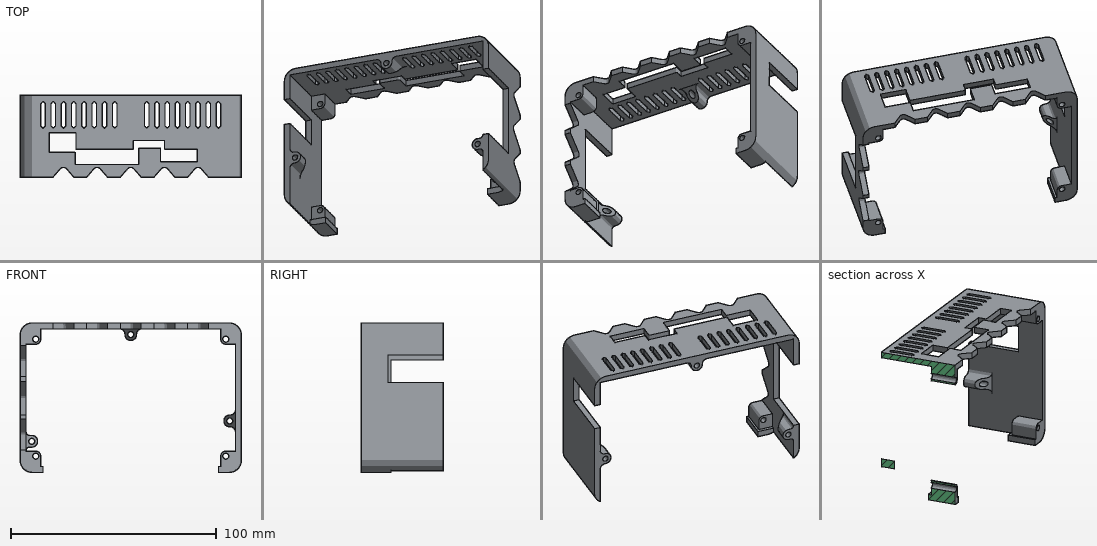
import cadquery as cq
import math

WIDTH = 107.7
DEPTH = 40.0
HEIGHT = 72.8
WALL = 3.0
OUTER_RADIUS = 6.0
LIP_DEPTH = 14.5
BOSS_DEPTH = 13.0

SCREW_DIAMETER = 2.8
CORNER_SCREW_INSET_X = 7.6
CORNER_SCREW_INSET_Z = 8.0
BOSS_RADIUS = 2.5
LIP_WIDTH = 11.2

POST_RADIUS = 2.9
POST_OFFSET = 2.7
POST_FILLET = 2.4
LEFT_POST_FILLET = 1.6
POST_FRONT = 27.1
POST_END_SLOPE = 1.2
LEFT_POST_Z = 15.2
RIGHT_POST_Z = 25.1

NOTCH_TIP_RADIUS = 2.0
TOP_NOTCH_COUNT = 5
TOP_NOTCH_PITCH = 16.4
TOP_NOTCH_HALF_WIDTH = 5.1
TOP_NOTCH_APEX = 5.8
SIDE_NOTCH_SLOPE = 1.16
LOWER_NOTCH_Z = 18.4
LOWER_NOTCH_HALF_WIDTH = 7.5
MIDDLE_NOTCH_Z = 36.2
MIDDLE_NOTCH_HALF_WIDTH = 8.2
UPPER_NOTCH_Z = 54.2
UPPER_NOTCH_HALF_WIDTH = 7.5
UPPER_NOTCH_TIP_RADIUS = 1.7

SLOTS_PER_SIDE = 8
SLOT_WIDTH = 2.0
SLOT_LENGTH = 12.9
INNERMOST_SLOT_X = 7.8
OUTERMOST_SLOT_X = 42.6
SLOT_MIDDLE_Y = 30.4

LEFT_OPENING_TOP = 54.7
LEFT_OPENING_BOTTOM = 19.8
RIGHT_OPENING_BOTTOM = 43.8
RIGHT_OPENING_TOP = 57.1

WINDOW_LEFT = -39.5
WINDOW_RIGHT = 32.3
PORT_FRONT = 12.2
PORT_REAR = 21.5
PORT_RIGHT = -26.7
CHANNEL_LEFT = -26.9
CHANNEL_FRONT = 6.2
CHANNEL_REAR = 13.6
CHANNEL_RIGHT_FRONT = 7.6
RAISED_LEFT = 1.3
RAISED_RIGHT = 16.4
RAISED_REAR = 17.8
TAB_LEFT = 3.8
TAB_RIGHT = 14.5
TAB_REAR = 14.2
WINDOW_CORNER_RADIUS = 0.4

INNER_X = WIDTH / 2 - WALL
INNER_TOP = HEIGHT - WALL
SCREW_X = WIDTH / 2 - CORNER_SCREW_INSET_X
TOP_SCREW_Z = HEIGHT - CORNER_SCREW_INSET_Z
BOTTOM_SCREW_Z = CORNER_SCREW_INSET_Z


def box(x_range, y_range, z_range):
    """Axis-aligned block given by its limits on each axis."""
    size = [high - low for low, high in (x_range, y_range, z_range)]
    corner = (x_range[0], y_range[0], z_range[0])
    return cq.Workplane("XY").box(*size, centered=False).translate(corner)


def rounded_block():
    """Full outer envelope with its four long edges rounded."""
    envelope = box((-WIDTH / 2, WIDTH / 2), (0, DEPTH), (0, HEIGHT))
    return envelope.edges("|Y").fillet(OUTER_RADIUS)


def shell():
    """Top and side walls, with bottom lips and corner bosses in the front frame."""
    envelope = rounded_block()
    rear_cavity = box((-INNER_X, INNER_X), (0, DEPTH), (0, INNER_TOP))
    walls = envelope.cut(rear_cavity)
    lip_end = WIDTH / 2 - LIP_WIDTH
    boss_side = SCREW_X - BOSS_RADIUS
    bottom_boss_top = BOTTOM_SCREW_Z + BOSS_RADIUS
    top_boss_bottom = TOP_SCREW_Z - BOSS_RADIUS
    for side in (-1, 1):
        lip_limits = sorted((side * lip_end, side * WIDTH / 2))
        boss_limits = sorted((side * boss_side, side * WIDTH / 2))
        lip = box(lip_limits, (0, LIP_DEPTH), (0, WALL))
        bottom_boss = box(boss_limits, (0, BOSS_DEPTH), (0, bottom_boss_top))
        top_boss = box(boss_limits, (0, BOSS_DEPTH), (top_boss_bottom, HEIGHT))
        inner_face = ">X" if side < 0 else "<X"
        bottom_boss = bottom_boss.faces(inner_face).edges(">Z").fillet(BOSS_RADIUS)
        top_boss = top_boss.faces(inner_face).edges("<Z").fillet(BOSS_RADIUS)
        corners = lip.union(bottom_boss).union(top_boss).intersect(envelope)
        walls = walls.union(corners)
    return walls


def corner_screw_holes():
    points = [(x, z) for x in (-SCREW_X, SCREW_X) for z in (BOTTOM_SCREW_Z, TOP_SCREW_Z)]
    holes = cq.Workplane("XZ").pushPoints(points).circle(SCREW_DIAMETER / 2)
    return holes.extrude(-DEPTH)


def wall_post(fillet):
    """Post standing on the plane Z = 0 and running along Y to the rear face.

    Its round top blends into the plane with the given fillet on each side, and its front
    end slants back with height.
    """
    foot = POST_RADIUS + fillet
    top = POST_OFFSET + POST_RADIUS
    arc_middle = fillet * (1 - math.sqrt(0.5))
    profile = (
        cq.Workplane("XZ", origin=(0, POST_FRONT, 0))
        .moveTo(-foot, 0)
        .threePointArc((-POST_RADIUS - arc_middle, arc_middle), (-POST_RADIUS, fillet))
        .lineTo(-POST_RADIUS, POST_OFFSET)
        .threePointArc((0, top), (POST_RADIUS, POST_OFFSET))
        .lineTo(POST_RADIUS, fillet)
        .threePointArc((POST_RADIUS + arc_middle, arc_middle), (foot, 0))
        .close()
    )
    post = profile.extrude(POST_FRONT - DEPTH)
    hole = (
        cq.Workplane("XZ", origin=(0, POST_FRONT, POST_OFFSET))
        .circle(SCREW_DIAMETER / 2)
        .extrude(POST_FRONT - DEPTH)
    )
    wedge = (
        cq.Workplane("YZ", origin=(-foot, 0, 0))
        .polyline([(POST_FRONT, 0), (POST_FRONT + POST_END_SLOPE * top, top), (POST_FRONT, top)])
        .close()
        .extrude(2 * foot)
    )
    return post.cut(hole).cut(wedge)


def posts():
    """One post under the top and one on each side wall."""
    axis_start = (0, 0, 0)
    axis_end = (0, 1, 0)
    post = wall_post(POST_FILLET)
    short_blend_post = wall_post(LEFT_POST_FILLET)
    top_post = post.rotate(axis_start, axis_end, 180).translate((0, 0, INNER_TOP))
    right_post = post.rotate(axis_start, axis_end, -90).translate((INNER_X, 0, RIGHT_POST_Z))
    left_post = short_blend_post.rotate(axis_start, axis_end, 90)
    left_post = left_post.translate((-INNER_X, 0, LEFT_POST_Z))
    return top_post.union(right_post).union(left_post)


def notch(plane, half_width, apex, tip_radius):
    """V-shaped cutter through a wall with a rounded tip.

    The plane lies on one face of the wall, and its local Y points into the part.
    """
    triangle = (
        cq.Workplane(plane)
        .polyline([(-half_width, 0), (0, apex), (half_width, 0)])
        .close()
        .extrude(WALL)
    )
    return triangle.edges(">Y").fillet(tip_radius)


def top_notches():
    cutters = cq.Workplane("XY")
    for index in range(TOP_NOTCH_COUNT):
        x = (index - (TOP_NOTCH_COUNT - 1) / 2) * TOP_NOTCH_PITCH
        plane = cq.Plane(origin=(x, 0, INNER_TOP), xDir=(1, 0, 0), normal=(0, 0, 1))
        cutters.add(notch(plane, TOP_NOTCH_HALF_WIDTH, TOP_NOTCH_APEX, NOTCH_TIP_RADIUS))
    return cutters.combine()


def left_notches():
    places = [
        (LOWER_NOTCH_Z, LOWER_NOTCH_HALF_WIDTH, NOTCH_TIP_RADIUS),
        (MIDDLE_NOTCH_Z, MIDDLE_NOTCH_HALF_WIDTH, NOTCH_TIP_RADIUS),
        (UPPER_NOTCH_Z, UPPER_NOTCH_HALF_WIDTH, UPPER_NOTCH_TIP_RADIUS),
    ]
    cutters = cq.Workplane("XY")
    for z, half_width, tip_radius in places:
        plane = cq.Plane(origin=(-WIDTH / 2, 0, z), xDir=(0, 0, -1), normal=(1, 0, 0))
        cutters.add(notch(plane, half_width, half_width * SIDE_NOTCH_SLOPE, tip_radius))
    return cutters.combine()


def ventilation_slot(x):
    """Slot along Y whose two ends are right-angled points."""
    half_width = SLOT_WIDTH / 2
    tip = SLOT_LENGTH / 2
    shoulder = tip - half_width
    outline = [
        (0, tip),
        (half_width, shoulder),
        (half_width, -shoulder),
        (0, -tip),
        (-half_width, -shoulder),
        (-half_width, shoulder),
    ]
    plane = cq.Workplane("XY", origin=(x, SLOT_MIDDLE_Y, INNER_TOP))
    return plane.polyline(outline).close().extrude(WALL)


def ventilation_slots():
    """Two mirrored rows of slots."""
    pitch = (OUTERMOST_SLOT_X - INNERMOST_SLOT_X) / (SLOTS_PER_SIDE - 1)
    slots = cq.Workplane("XY")
    for index in range(SLOTS_PER_SIDE):
        distance = INNERMOST_SLOT_X + index * pitch
        for side in (-1, 1):
            slots.add(ventilation_slot(side * distance))
    return slots.combine()


def side_openings():
    """Openings in both side walls that run out through the rear face."""
    left = box(
        (-WIDTH / 2, -INNER_X),
        (LIP_DEPTH, DEPTH),
        (LEFT_OPENING_BOTTOM, LEFT_OPENING_TOP),
    )
    right = box(
        (INNER_X, WIDTH / 2),
        (BOSS_DEPTH, DEPTH),
        (RIGHT_OPENING_BOTTOM, RIGHT_OPENING_TOP),
    )
    return left.union(right)


def stepped_window():
    """Window cutter, with the plate corners between its steps rounded."""
    outline = [
        (WINDOW_LEFT, PORT_REAR),
        (PORT_RIGHT, PORT_REAR),
        (PORT_RIGHT, CHANNEL_REAR),
        (RAISED_LEFT, CHANNEL_REAR),
        (RAISED_LEFT, RAISED_REAR),
        (RAISED_RIGHT, RAISED_REAR),
        (RAISED_RIGHT, CHANNEL_REAR),
        (WINDOW_RIGHT, CHANNEL_REAR),
        (WINDOW_RIGHT, CHANNEL_RIGHT_FRONT),
        (TAB_RIGHT, CHANNEL_RIGHT_FRONT),
        (TAB_RIGHT, TAB_REAR),
        (TAB_LEFT, TAB_REAR),
        (TAB_LEFT, CHANNEL_FRONT),
        (CHANNEL_LEFT, CHANNEL_FRONT),
        (CHANNEL_LEFT, PORT_FRONT),
        (WINDOW_LEFT, PORT_FRONT),
    ]
    rounded_corners = [
        (CHANNEL_LEFT, PORT_FRONT),
        (RAISED_LEFT, CHANNEL_REAR),
        (RAISED_RIGHT, CHANNEL_REAR),
        (TAB_LEFT, TAB_REAR),
        (TAB_RIGHT, TAB_REAR),
    ]
    window = cq.Workplane("XY", origin=(0, 0, INNER_TOP)).polyline(outline).close().extrude(WALL)
    for x, y in rounded_corners:
        corner = cq.NearestToPointSelector((x, y, HEIGHT - WALL / 2))
        window = window.edges("|Z").edges(corner).fillet(WINDOW_CORNER_RADIUS)
    return window


result = (
    shell()
    .union(posts())
    .cut(corner_screw_holes())
    .cut(top_notches())
    .cut(left_notches())
    .cut(ventilation_slots())
    .cut(side_openings())
    .cut(stepped_window())
)